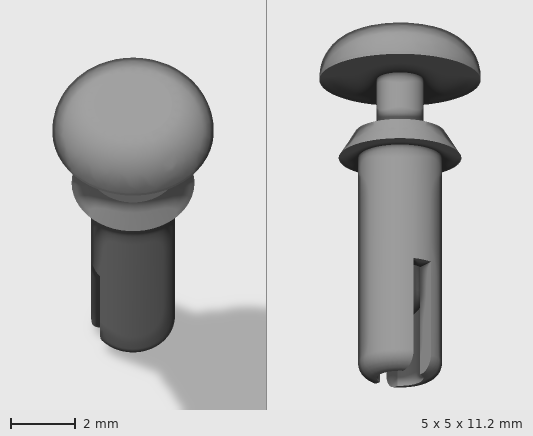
import cadquery as cq

TOTAL_HEIGHT = 11.15

HEAD_DIAMETER = 5.0
HEAD_HEIGHT = 1.39
HEAD_RIM_HEIGHT = 0.1
HEAD_FLAT_DIAMETER = 2.41
SHANK_DIAMETER = 1.45
PIN_TIP_Z = 1.98

SLEEVE_DIAMETER = 2.6
SLEEVE_HEIGHT = 8.01
FLANGE_HEIGHT = 0.8
FLANGE_TOP_DIAMETER = 2.8
FLANGE_BOTTOM_DIAMETER = 3.8
SLEEVE_TIP_FILLET = 0.5
SLOT_WIDTH = 0.65
SLOT_HEIGHT = 3.51

HEAD_RADIUS = HEAD_DIAMETER / 2
HEAD_FLAT_RADIUS = HEAD_FLAT_DIAMETER / 2
HEAD_BASE_Z = TOTAL_HEIGHT - HEAD_HEIGHT
HEAD_RIM_TOP_Z = HEAD_BASE_Z + HEAD_RIM_HEIGHT
SHANK_RADIUS = SHANK_DIAMETER / 2
FLANGE_BASE_Z = SLEEVE_HEIGHT - FLANGE_HEIGHT
DIAGONAL = 0.5 ** 0.5


def make_pin():
    """Revolve the half profile of head, shank and tip about Z."""
    head_arc_middle = (
        HEAD_FLAT_RADIUS + (HEAD_RADIUS - HEAD_FLAT_RADIUS) * DIAGONAL,
        HEAD_RIM_TOP_Z + (TOTAL_HEIGHT - HEAD_RIM_TOP_Z) * DIAGONAL,
    )
    tip_center_z = PIN_TIP_Z + SHANK_RADIUS
    tip_arc_middle = (SHANK_RADIUS * DIAGONAL, tip_center_z - SHANK_RADIUS * DIAGONAL)
    return (
        cq.Workplane("XZ")
        .moveTo(0, TOTAL_HEIGHT)
        .lineTo(HEAD_FLAT_RADIUS, TOTAL_HEIGHT)
        .threePointArc(head_arc_middle, (HEAD_RADIUS, HEAD_RIM_TOP_Z))
        .lineTo(HEAD_RADIUS, HEAD_BASE_Z)
        .lineTo(SHANK_RADIUS, HEAD_BASE_Z)
        .lineTo(SHANK_RADIUS, tip_center_z)
        .threePointArc(tip_arc_middle, (0, PIN_TIP_Z))
        .close()
        .revolve(360, (0, 0), (0, 1))
    )


def make_sleeve():
    """Build the flanged tube, bore it for the shank and split its lower end."""
    tube = (
        cq.Workplane("XY")
        .circle(SLEEVE_DIAMETER / 2)
        .extrude(SLEEVE_HEIGHT)
        .faces("<Z")
        .edges()
        .fillet(SLEEVE_TIP_FILLET)
    )
    flange = (
        cq.Workplane("XY", origin=(0, 0, FLANGE_BASE_Z))
        .circle(FLANGE_BOTTOM_DIAMETER / 2)
        .workplane(offset=FLANGE_HEIGHT)
        .circle(FLANGE_TOP_DIAMETER / 2)
        .loft()
    )
    bore = cq.Workplane("XY").circle(SHANK_RADIUS).extrude(SLEEVE_HEIGHT)
    slot = cq.Workplane("XY").rect(SLOT_WIDTH, SLEEVE_DIAMETER).extrude(SLOT_HEIGHT)
    return tube.union(flange).cut(bore).cut(slot)


pin = make_pin()
sleeve = make_sleeve()
result = cq.Compound.makeCompound([pin.val(), *sleeve.solids().vals()])